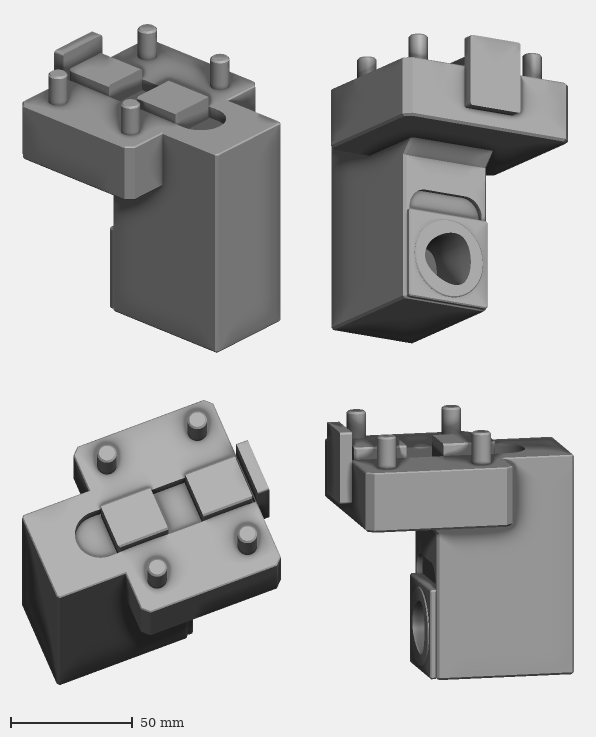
import cadquery as cq
import math

HEAD_LENGTH = 62.0
HEAD_WIDTH = 80.0
HEAD_HEIGHT = 25.0
HEAD_CORNER_CHAMFER = 3.0
HEAD_BOTTOM_CHAMFER = 1.0

BODY_LEFT = 34.0
BODY_RIGHT = 92.0
BODY_WIDTH = 40.0
BODY_HEIGHT = 92.0
BODY_CHAMFER = 1.0
GUSSET = 6.0
TOP_CHAMFER = 0.5

HEAD_BOTTOM = BODY_HEIGHT - HEAD_HEIGHT

SLOT_START = 0.5
SLOT_END = 75.5
SLOT_WIDTH = 21.0
SLOT_DEPTH = 5.0

JAW_LENGTH = 22.0
JAW_WIDTH = 20.4
JAW_TOP = 97.0
JAW_CENTERS = (12.5, 50.0)
JAW_CHAMFER = 0.75

BULGE_LENGTH = 25.6
BULGE_HEIGHT = 0.4

COVER_THICKNESS = 5.0
COVER_WIDTH = 24.0
COVER_BOTTOM = 74.0
COVER_TOP = 104.0
COVER_CORNER_RADIUS = 1.0

PIN_DIAMETER = 8.0
PIN_TOP = 105.0
PIN_SPACING_X = 40.0
PIN_SPACING_Y = 55.0
PIN_CHAMFER = 0.75

BLOCK_LEFT = 31.5
BLOCK_WIDTH = 38.0
BLOCK_BOTTOM = 0.35
BLOCK_TOP = 37.75
BLOCK_CORNER_CHAMFER = 0.75
BLOCK_FACE_CHAMFER = 0.5
RECESS_DEPTH = 2.5
RECESS_WIDTH = 34.8
RECESS_TOP = 47.5
RECESS_RADIUS = 8.0
RING_DIAMETER = 33.0
RING_THICKNESS = 0.5
RING_CHAMFER = 0.4

SOCKET_HEIGHT = 19.0
SOCKET_TIP_RADIUS = 11.8
SOCKET_FLAT_RADIUS = 10.3
SOCKET_TIP_TAPER = 0.3
SOCKET_FLAT_TAPER = 0.9
SOCKET_DEPTH = 25.0


def box(x_min, x_max, width, z_min, z_max):
    """Block centred on Y = 0 between the given X and Z limits."""
    return (
        cq.Workplane("XY")
        .box(x_max - x_min, width, z_max - z_min, centered=(False, True, False))
        .translate((x_min, 0, z_min))
    )


def make_head():
    head = box(0, HEAD_LENGTH, HEAD_WIDTH, HEAD_BOTTOM, BODY_HEIGHT)
    head = head.edges("|Z").chamfer(HEAD_CORNER_CHAMFER)
    return head.faces("<Z").edges().chamfer(HEAD_BOTTOM_CHAMFER)


def make_body():
    gusset_tip = BODY_LEFT - GUSSET
    profile = [
        (BODY_LEFT, 0),
        (BODY_RIGHT, 0),
        (BODY_RIGHT, BODY_HEIGHT),
        (gusset_tip, BODY_HEIGHT),
        (gusset_tip, HEAD_BOTTOM),
        (BODY_LEFT, HEAD_BOTTOM - GUSSET),
    ]
    body = cq.Workplane("XZ").polyline(profile).close().extrude(BODY_WIDTH / 2, both=True)
    neck_region = cq.selectors.BoxSelector(
        (gusset_tip, -BODY_WIDTH, BODY_CHAMFER), (BODY_LEFT + BODY_CHAMFER, BODY_WIDTH, HEAD_BOTTOM)
    )
    neck_edges = body.edges("not |Y").edges(neck_region)
    end_edges = body.faces(">X").edges("|Z")
    bottom_edges = body.faces("<Z").edges()
    return body.newObject(neck_edges.vals() + end_edges.vals() + bottom_edges.vals()).chamfer(BODY_CHAMFER)


def make_slot():
    radius = SLOT_WIDTH / 2
    straight_end = SLOT_END - radius
    return (
        cq.Workplane("XY", origin=(0, 0, BODY_HEIGHT))
        .moveTo(SLOT_START, -radius)
        .lineTo(straight_end, -radius)
        .threePointArc((SLOT_END, 0), (straight_end, radius))
        .lineTo(SLOT_START, radius)
        .close()
        .extrude(-SLOT_DEPTH)
    )


def make_jaw(center, outer_end):
    """Jaw whose flanks are chamfered along the top and along the outer end, "<X" or ">X"."""
    half = JAW_LENGTH / 2
    jaw = box(center - half, center + half, JAW_WIDTH, BODY_HEIGHT - SLOT_DEPTH, JAW_TOP)
    top_edges = jaw.faces(">Z").edges("|X")
    end_edges = jaw.faces(outer_end).edges("|Z")
    return jaw.newObject(top_edges.vals() + end_edges.vals()).chamfer(JAW_CHAMFER)


def make_bulge(center, side):
    """Flat arc-shaped bulge on one slot wall; side is -1 or 1 along Y."""
    wall = side * SLOT_WIDTH / 2
    half = BULGE_LENGTH / 2
    return (
        cq.Workplane("XY", origin=(center, wall, BODY_HEIGHT))
        .moveTo(-half, 0)
        .threePointArc((0, -side * BULGE_HEIGHT), (half, 0))
        .close()
        .extrude(-SLOT_DEPTH)
    )


def make_cover():
    cover = box(-COVER_THICKNESS, 0, COVER_WIDTH, COVER_BOTTOM, COVER_TOP)
    return cover.edges("|X").fillet(COVER_CORNER_RADIUS)


def make_pins():
    return (
        cq.Workplane("XY", origin=(HEAD_LENGTH / 2, 0, BODY_HEIGHT))
        .rarray(PIN_SPACING_X, PIN_SPACING_Y, 2, 2)
        .circle(PIN_DIAMETER / 2)
        .extrude(PIN_TOP - BODY_HEIGHT)
        .faces(">Z")
        .edges()
        .chamfer(PIN_CHAMFER)
    )


def make_recess():
    """Shallow pocket with rounded upper corners, partly covered by the connector block."""
    recess = box(BODY_LEFT, BODY_LEFT + RECESS_DEPTH, RECESS_WIDTH, SOCKET_HEIGHT, RECESS_TOP)
    return recess.edges("|X and >Z").fillet(RECESS_RADIUS)


def make_connector():
    block = box(BLOCK_LEFT, BODY_LEFT, BLOCK_WIDTH, BLOCK_BOTTOM, BLOCK_TOP)
    block = block.edges("|X").chamfer(BLOCK_CORNER_CHAMFER)
    front_edges = block.faces("<X").edges()
    rear_side_edges = block.faces(">X").edges("|Z")
    block = block.newObject(front_edges.vals() + rear_side_edges.vals()).chamfer(BLOCK_FACE_CHAMFER)
    tongue = box(BODY_LEFT, BODY_LEFT + RECESS_DEPTH, RECESS_WIDTH, SOCKET_HEIGHT, BLOCK_TOP)
    ring = (
        cq.Workplane("YZ", origin=(BLOCK_LEFT, 0, SOCKET_HEIGHT))
        .circle(RING_DIAMETER / 2)
        .extrude(-RING_THICKNESS)
        .faces("<X")
        .edges()
        .chamfer(RING_CHAMFER)
    )
    return block.union(tongue).union(ring)


def lobe_points(tip_radius, flat_radius):
    """Alternating tips and flats of the three-lobed outline, one tip toward +Y."""
    points = []
    for lobe in range(3):
        tip_angle = math.radians(120 * lobe)
        flat_angle = tip_angle + math.radians(60)
        points.append((tip_radius * math.cos(tip_angle), tip_radius * math.sin(tip_angle)))
        points.append((flat_radius * math.cos(flat_angle), flat_radius * math.sin(flat_angle)))
    return points


def make_socket():
    mouth = BLOCK_LEFT - RING_THICKNESS
    mouth_points = lobe_points(SOCKET_TIP_RADIUS, SOCKET_FLAT_RADIUS)
    floor_points = lobe_points(SOCKET_TIP_RADIUS - SOCKET_TIP_TAPER, SOCKET_FLAT_RADIUS - SOCKET_FLAT_TAPER)
    return (
        cq.Workplane("YZ", origin=(mouth, 0, SOCKET_HEIGHT))
        .spline(mouth_points, periodic=True)
        .close()
        .workplane(offset=SOCKET_DEPTH)
        .spline(floor_points, periodic=True)
        .close()
        .loft(ruled=True)
    )


housing = make_head().union(make_body())
housing = housing.faces(">Z").edges().chamfer(TOP_CHAMFER)
housing = housing.cut(make_slot()).cut(make_recess())

result = housing.union(make_cover()).union(make_pins())
for jaw_center, jaw_end in zip(JAW_CENTERS, ("<X", ">X")):
    result = result.union(make_jaw(jaw_center, jaw_end))
    for wall_side in (-1, 1):
        result = result.union(make_bulge(jaw_center, wall_side))
result = result.union(make_connector()).cut(make_socket())